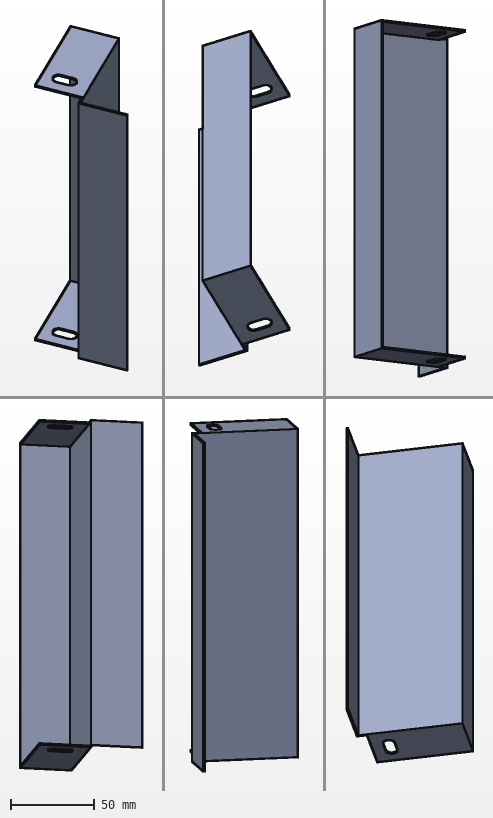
import cadquery as cq

width = 61.9
depth = 65.1
height = 201.5
sheet = 1.0

web_right = (width + sheet) / 2
web_left = web_right - sheet

end_plate_setback = 6.0

slot_length = 15.1
slot_width = 7.0
slot_x = 15.0
slot_y = 17.1


def folded_sheet():
    """Z-shaped section: back wall, web and front flange."""
    outline = [
        (0, depth),
        (web_right, depth),
        (web_right, sheet),
        (width, sheet),
        (width, 0),
        (web_left, 0),
        (web_left, depth - sheet),
        (0, depth - sheet),
    ]
    return cq.Workplane("XY").polyline(outline).close().extrude(height)


def end_plate(bottom):
    """Flat plate closing one end of the tray, its underside at the given height."""
    plate_depth = depth - end_plate_setback
    return (
        cq.Workplane("XY", origin=(0, end_plate_setback, bottom))
        .rect(web_right, plate_depth, centered=False)
        .extrude(sheet)
    )


slots = (
    cq.Workplane("XY")
    .center(slot_x, slot_y)
    .slot2D(slot_length, slot_width)
    .extrude(height)
)

result = folded_sheet()
for plate_bottom in (0, height - sheet):
    result = result.union(end_plate(plate_bottom))
result = result.cut(slots)